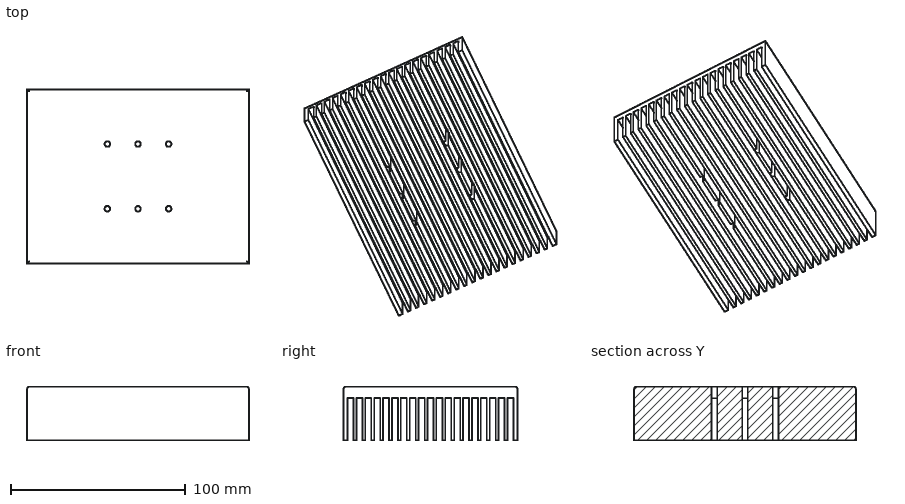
import cadquery as cq

length = 127.0
width = 99.7
height = 30.7
edge_radius = 1.5

fin_height = 24.1
slot_count = 19
fin_pitch = 5.1
fin_thickness = 1.8
slot_width = fin_pitch - fin_thickness

hole_diameter = 3.0
hole_columns = 3
hole_rows = 2
hole_spacing_x = 17.5
hole_spacing_y = 37.1


def make_block():
    """Solid block standing on Z = 0, with the edges of the top face rounded."""
    block = cq.Workplane("XY").box(length, width, height, centered=(True, True, False))
    return block.faces(">Z").edges().fillet(edge_radius)


def make_slots():
    """Full-length gaps between the fins, open at the bottom."""
    return (
        cq.Workplane("XY")
        .rarray(length, fin_pitch, 1, slot_count)
        .rect(length, slot_width)
        .extrude(fin_height)
    )


def make_holes():
    """Grid of mounting holes centred on the block."""
    return (
        cq.Workplane("XY")
        .rarray(hole_spacing_x, hole_spacing_y, hole_columns, hole_rows)
        .circle(hole_diameter / 2)
        .extrude(height)
    )


result = make_block().cut(make_slots()).cut(make_holes())